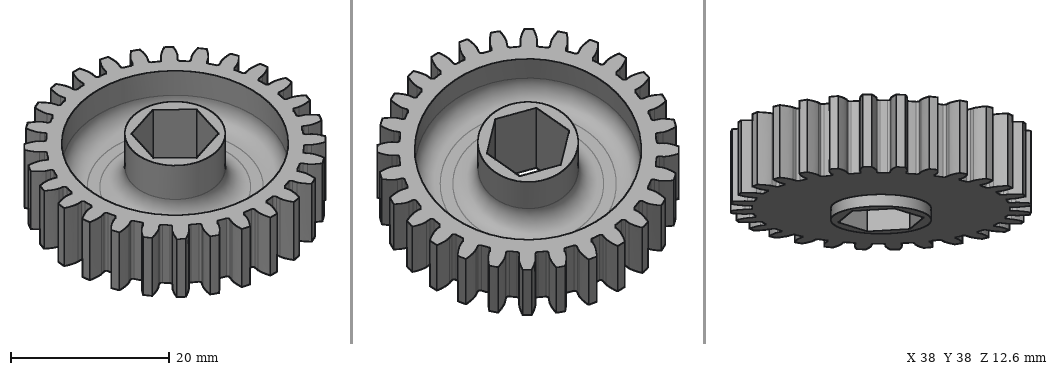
import cadquery as cq
import math

tooth_count = 28
outer_width = 37.97
root_radius = 16.3
pressure_angle = math.radians(14.5)
root_fillet = 0.35
face_width = 9.53
flank_steps = 6
gap_overrun = 0.38

hub_radius = 6.35
overall_height = 12.6
hub_overhang = (overall_height - face_width) / 2
hex_across_flats = 9.53

recess_radius = 14.3
recess_depth = 7.18
recess_fillet = 3.2

tooth_pitch = 2 * math.pi / tooth_count


def involute(angle):
    return math.tan(angle) - angle


pitch_to_tip_ratio = tooth_count / (tooth_count + 2)
tip_flank_angle = math.acos(pitch_to_tip_ratio * math.cos(pressure_angle))
tip_gap_half_angle = tooth_pitch / 4 + involute(tip_flank_angle) - involute(pressure_angle)
tip_radius = outer_width / 2 / math.cos(tip_gap_half_angle)
pitch_radius = tip_radius * pitch_to_tip_ratio
base_radius = pitch_radius * math.cos(pressure_angle)


def polar(radius, angle):
    return (radius * math.cos(angle), radius * math.sin(angle))


def flank_half_angle(radius):
    """Angle from the tooth centre line to its involute flank at a radius."""
    flank_angle = math.acos(min(1, base_radius / radius))
    return tooth_pitch / 4 + involute(pressure_angle) - involute(flank_angle)


def make_tooth_gap():
    """Cutter for the space between two teeth, centred on the X axis."""
    radii = [
        base_radius + (tip_radius - base_radius) * (step / flank_steps) ** 2
        for step in range(flank_steps + 1)
    ]
    upper = [polar(r, tooth_pitch / 2 - flank_half_angle(r)) for r in radii]
    lower = [(x, -y) for x, y in upper]
    root_half_angle = tooth_pitch / 2 - flank_half_angle(base_radius)
    outer_x = tip_radius + gap_overrun
    gap = (
        cq.Workplane("XY")
        .moveTo(*polar(root_radius, -root_half_angle))
        .threePointArc((root_radius, 0), polar(root_radius, root_half_angle))
        .lineTo(*upper[0])
        .spline(upper[1:], includeCurrent=True)
        .lineTo(outer_x, upper[-1][1])
        .lineTo(outer_x, lower[-1][1])
        .lineTo(*lower[-1])
        .spline(lower[-2::-1], includeCurrent=True)
        .close()
        .extrude(face_width)
    )
    root_corners = cq.selectors.BoxSelector(
        (0, -root_radius, 0),
        ((root_radius + base_radius) / 2, root_radius, face_width),
    )
    return gap.edges("|Z").edges(root_corners).fillet(root_fillet)


def make_toothed_disc():
    disc = cq.Workplane("XY").circle(tip_radius).extrude(face_width)
    gap = make_tooth_gap()
    for index in range(tooth_count):
        disc = disc.cut(gap.rotate((0, 0, 0), (0, 0, 1), index * 360 / tooth_count))
    return disc


def make_recess():
    """Ring-shaped pocket with rounded inner and outer floor corners."""
    return (
        cq.Workplane("XY")
        .workplane(offset=face_width - recess_depth)
        .circle(recess_radius)
        .circle(hub_radius)
        .extrude(recess_depth)
        .faces("<Z")
        .edges()
        .fillet(recess_fillet)
    )


def make_hub():
    return (
        cq.Workplane("XY")
        .workplane(offset=-hub_overhang)
        .circle(hub_radius)
        .extrude(overall_height)
    )


def make_hex_bore():
    across_corners = hex_across_flats / math.cos(math.pi / 6)
    return (
        cq.Workplane("XY")
        .workplane(offset=-hub_overhang)
        .polygon(6, across_corners)
        .extrude(overall_height)
        .rotate((0, 0, 0), (0, 0, 1), 30)
    )


result = make_toothed_disc().cut(make_recess()).union(make_hub()).cut(make_hex_bore())